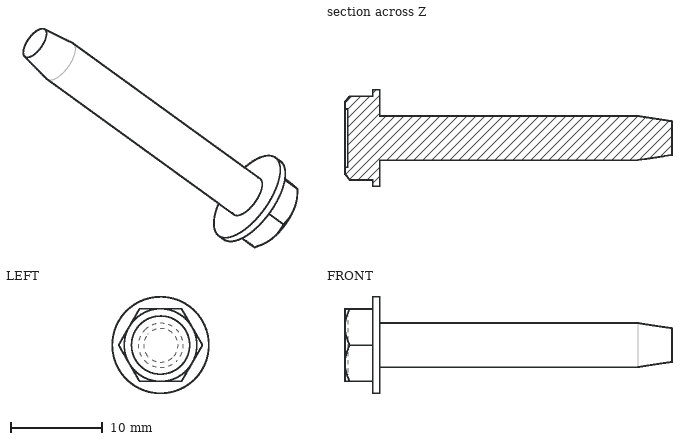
import cadquery as cq
import math

total_length = 35.6
head_height = 3.03
flange_thickness = 0.8
flange_diameter = 10.55
across_flats = 7.9
chamfer_angle = 40.0
recess_diameter = 6.35
recess_depth = 0.3
shank_diameter = 4.85
tip_length = 3.75
tip_diameter = 3.7

across_corners = across_flats / math.cos(math.radians(30))
flange_end = head_height + flange_thickness
tip_start = total_length - tip_length


def make_head():
    """Hexagon with corners on the Y axis, trimmed by a cone and recessed in its end face."""
    hexagon = cq.Workplane("YZ").polygon(6, across_corners).extrude(head_height)
    face_radius = across_flats / 2
    corner_radius = across_corners / 2
    chamfer_depth = (corner_radius - face_radius) * math.tan(math.radians(chamfer_angle))
    chamfer_envelope = (
        cq.Workplane("XY")
        .polyline([
            (0, 0),
            (0, face_radius),
            (chamfer_depth, corner_radius),
            (head_height, corner_radius),
            (head_height, 0),
        ])
        .close()
        .revolve(360, (0, 0, 0), (1, 0, 0))
    )
    recess = cq.Workplane("YZ").circle(recess_diameter / 2).extrude(recess_depth)
    return hexagon.intersect(chamfer_envelope).cut(recess)


def make_flange_and_shank():
    """Washer flange, cylindrical shank and tapered tip as one turned body."""
    flange_radius = flange_diameter / 2
    shank_radius = shank_diameter / 2
    return (
        cq.Workplane("XY")
        .polyline([
            (head_height, 0),
            (head_height, flange_radius),
            (flange_end, flange_radius),
            (flange_end, shank_radius),
            (tip_start, shank_radius),
            (total_length, tip_diameter / 2),
            (total_length, 0),
        ])
        .close()
        .revolve(360, (0, 0, 0), (1, 0, 0))
    )


result = make_head().union(make_flange_and_shank())